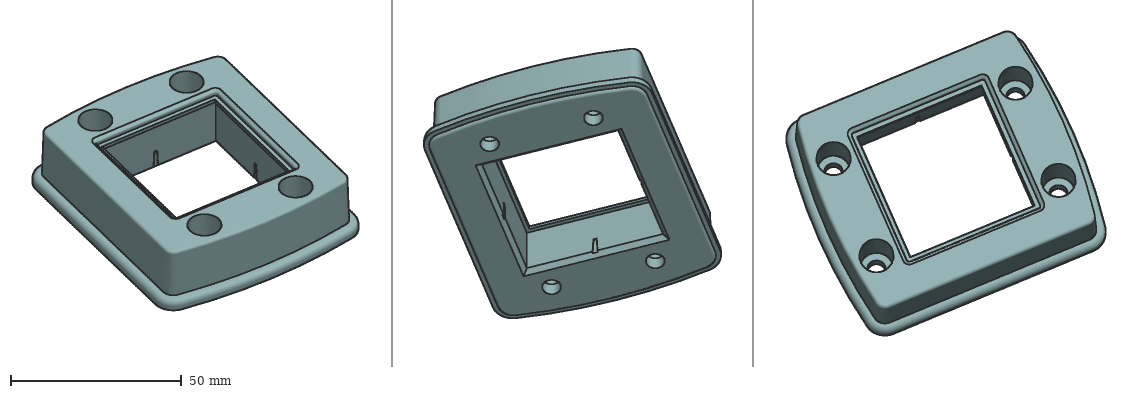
import cadquery as cq
import math

LENGTH = 81.08
WIDTH = 70.08
HEIGHT = 20.6
SIDE_RADIUS = 175.0
CORNER_RADIUS = 6.25

LIP_HEIGHT = 1.0
LIP_INSET = 1.5
LIP_FILLET = 0.95

FLANGE_TOP = 4.5
FLANGE_FILLET = 2.0

BODY_INSET = 2.75
BODY_DRAFT = 1.75
BODY_TOP_FILLET = 1.0

OPENING = 39.6
RECESS = 42.5
RECESS_CORNER_RADIUS = 0.8
LEDGE_TOP = 18.6
LEDGE_THICKNESS = 1.2
MOUTH = 44.8
MOUTH_DEPTH = 0.76
MOUTH_FILLET = 0.65
WELL = 42.0
WELL_CHAMFER = 1.5

GROOVE_TOP_WIDTH = 1.0
GROOVE_BOTTOM_WIDTH = 1.7
GROOVE_DEPTH = 0.35
GROOVE_TOP = 7.0

HOLE_DIAMETER = 5.5
HOLE_SPACING_X = 58.0
HOLE_SPACING_Y = 32.0
COUNTERBORE_DIAMETER = 10.0
COUNTERBORE_FLOOR = FLANGE_TOP

SELECTION_MARGIN = 0.01


def bowed_outline(inset, z):
    """Closed plan outline, moved inward by inset, on the plane at height z."""
    half_length = LENGTH / 2 - inset
    half_width = WIDTH / 2 - inset
    corner = CORNER_RADIUS - inset
    corner_y = half_width - corner
    side_centre_x = SIDE_RADIUS - LENGTH / 2
    centre_distance = SIDE_RADIUS - CORNER_RADIUS
    corner_x = math.sqrt(centre_distance**2 - corner_y**2) - side_centre_x
    tangent_angle = math.asin(corner_y / centre_distance)
    middle_angle = (tangent_angle + math.pi / 2) / 2

    def on_corner(angle, sign_x, sign_y):
        x = corner_x + corner * math.cos(angle)
        y = corner_y + corner * math.sin(angle)
        return (sign_x * x, sign_y * y)

    return (
        cq.Workplane("XY", origin=(0, 0, z))
        .moveTo(-corner_x, half_width)
        .lineTo(corner_x, half_width)
        .threePointArc(on_corner(middle_angle, 1, 1), on_corner(tangent_angle, 1, 1))
        .threePointArc((half_length, 0), on_corner(tangent_angle, 1, -1))
        .threePointArc(on_corner(middle_angle, 1, -1), (corner_x, -half_width))
        .lineTo(-corner_x, -half_width)
        .threePointArc(on_corner(middle_angle, -1, -1), on_corner(tangent_angle, -1, -1))
        .threePointArc((-half_length, 0), on_corner(tangent_angle, -1, 1))
        .threePointArc(on_corner(middle_angle, -1, 1), (-corner_x, half_width))
        .close()
    )


def square_prism(side, bottom, top):
    return cq.Workplane("XY", origin=(0, 0, bottom)).rect(side, side).extrude(top - bottom)


def make_housing():
    lip = bowed_outline(LIP_INSET, 0).extrude(LIP_HEIGHT).faces("<Z").edges().fillet(LIP_FILLET)
    flange = bowed_outline(0, LIP_HEIGHT).extrude(FLANGE_TOP - LIP_HEIGHT)
    flange = flange.faces(">Z").edges().fillet(FLANGE_FILLET)
    body = bowed_outline(BODY_INSET, FLANGE_TOP).extrude(HEIGHT - FLANGE_TOP, taper=BODY_DRAFT)
    body = body.faces(">Z").edges().fillet(BODY_TOP_FILLET)
    return lip.union(flange).union(body)


def cut_recess(part):
    """Shallow recess above the ledge, with a flared mouth blended into its walls."""
    recess = square_prism(RECESS, LEDGE_TOP, HEIGHT).edges("|Z").fillet(RECESS_CORNER_RADIUS)
    mouth_bottom = HEIGHT - MOUTH_DEPTH
    flare_angle = math.degrees(math.atan2((MOUTH - RECESS) / 2, MOUTH_DEPTH))
    mouth = (
        cq.Workplane("XY", origin=(0, 0, mouth_bottom))
        .sketch()
        .rect(RECESS, RECESS)
        .vertices()
        .fillet(RECESS_CORNER_RADIUS)
        .finalize()
        .extrude(MOUTH_DEPTH, taper=-flare_angle)
    )
    part = part.cut(recess).cut(mouth)
    half_box = RECESS / 2 + SELECTION_MARGIN
    mouth_edges = cq.selectors.BoxSelector(
        (-half_box, -half_box, mouth_bottom - SELECTION_MARGIN),
        (half_box, half_box, mouth_bottom + SELECTION_MARGIN),
        boundingbox=True,
    )
    return part.edges(mouth_edges).fillet(MOUTH_FILLET)


def cut_well(part):
    """Opening through the ledge and the wider well below it, chamfered at the underside."""
    opening = square_prism(OPENING, 0, HEIGHT)
    well = square_prism(WELL, 0, LEDGE_TOP - LEDGE_THICKNESS)
    mouth_side = WELL + 2 * WELL_CHAMFER
    well_mouth = cq.Workplane("XY").rect(mouth_side, mouth_side).extrude(WELL_CHAMFER, taper=45)
    return part.cut(opening).cut(well).cut(well_mouth)


def cut_grooves(part):
    reach = WELL + 2 * GROOVE_DEPTH
    half_bottom = GROOVE_BOTTOM_WIDTH / 2
    half_top = GROOVE_TOP_WIDTH / 2
    profile = [(-half_bottom, 0), (half_bottom, 0), (half_top, GROOVE_TOP), (-half_top, GROOVE_TOP)]
    for plane in ("XZ", "YZ"):
        part = part.cut(cq.Workplane(plane).polyline(profile).close().extrude(reach / 2, both=True))
    return part


def cut_screw_holes(part):
    for diameter, bottom in ((HOLE_DIAMETER, 0), (COUNTERBORE_DIAMETER, COUNTERBORE_FLOOR)):
        holes = (
            cq.Workplane("XY", origin=(0, 0, bottom))
            .rect(HOLE_SPACING_X, HOLE_SPACING_Y, forConstruction=True)
            .vertices()
            .circle(diameter / 2)
            .extrude(HEIGHT - bottom)
        )
        part = part.cut(holes)
    return part


housing = make_housing()
housing = cut_recess(housing)
housing = cut_well(housing)
housing = cut_grooves(housing)
result = cut_screw_holes(housing)